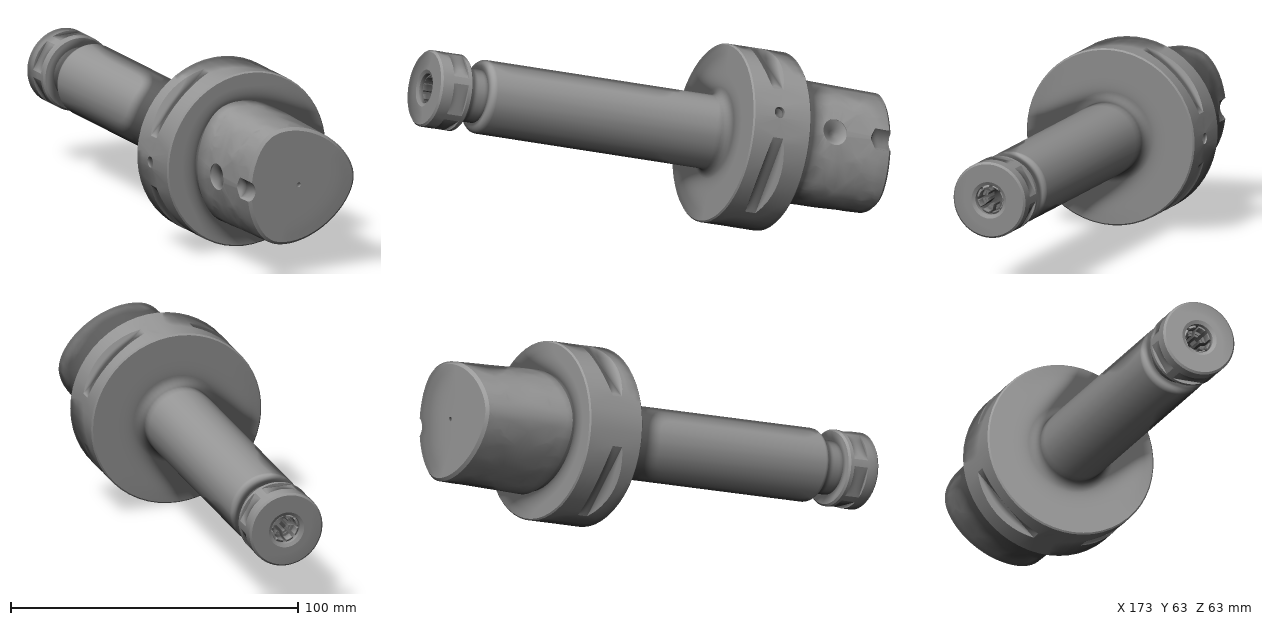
import cadquery as cq
import math

LENGTH = 173.0

NUT_DIA = 27.0
NUT_LENGTH = 12.6
NUT_CHAMFER = 0.7
NUT_MOUTH_DIA = 13.0
FLAT_COUNT = 6
FLAT_DISTANCE = 12.3
FLAT_START = 4.8
FLAT_END = 10.5

NOSE_DIA = 10.5
NOSE_FACE_DIA = 9.3
NOSE_START = 1.7
NOSE_CHAMFER_LENGTH = 0.5
MOUTH_LENGTH = 0.7
LIP_LENGTH = 3.5
SLOT_COUNT = 8
SLOT_WIDTH = 1.2
SLOT_DEPTH = 10.4
COUNTERBORE_DIA = 8.8
COUNTERBORE_DEPTH = 3.5
BORE_RIM_DIA = 7.0
BORE_RIM_DEPTH = 0.5
BORE_DIA = 5.5
BORE_DEPTH = 26.0
COOLANT_DIA = 1.7
DRILL_POINT_ANGLE = 118.0

NECK_DIA = 19.0
SHAFT_DIA = 26.0
SHAFT_START = 20.0
SHAFT_NOSE_RADIUS = 2.0
SHAFT_ROOT_RADIUS = 3.0

FLANGE_DIA = 63.0
FLANGE_WIDTH = 22.5
FLANGE_CHAMFER = 0.5
SHANK_LENGTH = 37.5
FLANGE_END = LENGTH - SHANK_LENGTH
FLANGE_START = FLANGE_END - FLANGE_WIDTH

GROOVE_SETBACK = 12.5
GROOVE_X = FLANGE_END - GROOVE_SETBACK
GROOVE_COUNT = 4
GROOVE_FLOOR_WIDTH = 4.0
GROOVE_FLOOR_DISTANCE = 27.7
GROOVE_FLANK_ANGLE = 30.0
INDEX_HOLE_DIA = 4.0
INDEX_HOLE_DEPTH = 1.7

SHANK_RADIUS = 22.0
LOBE_HEIGHT = 1.4
LOBE_COUNT = 3
OUTLINE_POINTS = 36
TAPER = 1 / 40
SHANK_CHAMFER = 1.0
RELIEF_RADIUS = 21.1
RELIEF_LOBE_HEIGHT = 0.7
RELIEF_WIDTH = 1.7

SIDE_HOLE_DIA = 9.3
SIDE_HOLE_X = 150.5
SIDE_HOLE_DEPTH = 2.2
END_NOTCH_DIA = 8.1
END_NOTCH_LENGTH = 6.5
END_NOTCH_Y = -21.1


def cylinder_x(diameter, start, end):
    """Cylinder on the X axis."""
    return cq.Workplane("YZ").workplane(offset=start).circle(diameter / 2).extrude(end - start)


def cone_x(start_diameter, end_diameter, start, end):
    """Truncated cone on the X axis."""
    points = [(start, 0), (start, start_diameter / 2), (end, end_diameter / 2), (end, 0)]
    return cq.Workplane("XY").polyline(points).close().revolve(360, (0, 0), (1, 0))


def drill(diameter, depth, point, direction):
    """Cylinder of the given depth with a conical drill point."""
    radius = diameter / 2
    tip = radius / math.tan(math.radians(DRILL_POINT_ANGLE / 2))
    origin = cq.Vector(*point)
    axis = cq.Vector(*direction)
    body = cq.Solid.makeCylinder(radius, depth, origin, axis)
    cone = cq.Solid.makeCone(radius, 0, tip, origin + axis * depth, axis)
    return cq.Workplane(obj=body.fuse(cone))


def shank_section(x, mean_radius, lobe_height):
    """Three-lobed outline of constant width, with one lobe toward +Y."""
    points = []
    for i in range(OUTLINE_POINTS):
        angle = 2 * math.pi * i / OUTLINE_POINTS
        distance = mean_radius + lobe_height * math.cos(LOBE_COUNT * angle)
        slope = -LOBE_COUNT * lobe_height * math.sin(LOBE_COUNT * angle)
        y = distance * math.cos(angle) - slope * math.sin(angle)
        z = distance * math.sin(angle) + slope * math.cos(angle)
        points.append(cq.Vector(x, y, z))
    return cq.Wire.assembleEdges([cq.Edge.makeSpline(points, periodic=True)])


def make_nut():
    nut = cylinder_x(NUT_DIA, 0, NUT_LENGTH).edges().chamfer(NUT_CHAMFER)
    nut = nut.cut(cone_x(NUT_MOUTH_DIA, NOSE_DIA, 0, MOUTH_LENGTH))
    nut = nut.cut(cylinder_x(NOSE_DIA, MOUTH_LENGTH, LIP_LENGTH))
    nut = nut.cut(cylinder_x(NECK_DIA, LIP_LENGTH, NUT_LENGTH))
    flat_cut = cq.Workplane("XY").box(
        FLAT_END - FLAT_START, NUT_DIA, NUT_DIA, centered=(False, True, False)
    ).translate((FLAT_START, 0, FLAT_DISTANCE))
    for i in range(FLAT_COUNT):
        nut = nut.cut(flat_cut.rotate((0, 0, 0), (1, 0, 0), 360 / FLAT_COUNT * i))
    return nut


def make_turned_body():
    """Nose, neck, shaft and flange as one turned profile."""
    nose_full = NOSE_START + NOSE_CHAMFER_LENGTH
    shaft_radius = SHAFT_DIA / 2
    flange_radius = FLANGE_DIA / 2
    corner = 1 - math.sqrt(0.5)
    return (
        cq.Workplane("XY")
        .moveTo(NOSE_START, 0)
        .lineTo(NOSE_START, NOSE_FACE_DIA / 2)
        .lineTo(nose_full, NOSE_DIA / 2)
        .lineTo(LIP_LENGTH, NOSE_DIA / 2)
        .lineTo(LIP_LENGTH, NECK_DIA / 2)
        .lineTo(SHAFT_START, NECK_DIA / 2)
        .lineTo(SHAFT_START, shaft_radius - SHAFT_NOSE_RADIUS)
        .threePointArc(
            (SHAFT_START + corner * SHAFT_NOSE_RADIUS, shaft_radius - corner * SHAFT_NOSE_RADIUS),
            (SHAFT_START + SHAFT_NOSE_RADIUS, shaft_radius),
        )
        .lineTo(FLANGE_START - SHAFT_ROOT_RADIUS, shaft_radius)
        .threePointArc(
            (FLANGE_START - corner * SHAFT_ROOT_RADIUS, shaft_radius + corner * SHAFT_ROOT_RADIUS),
            (FLANGE_START, shaft_radius + SHAFT_ROOT_RADIUS),
        )
        .lineTo(FLANGE_START, flange_radius - FLANGE_CHAMFER)
        .lineTo(FLANGE_START + FLANGE_CHAMFER, flange_radius)
        .lineTo(FLANGE_END - FLANGE_CHAMFER, flange_radius)
        .lineTo(FLANGE_END, flange_radius - FLANGE_CHAMFER)
        .lineTo(FLANGE_END, 0)
        .close()
        .revolve(360, (0, 0), (1, 0))
    )


def loft_x(first, last):
    """Straight-sided solid between two outlines."""
    return cq.Workplane(obj=cq.Solid.makeLoft([first, last], True))


def make_shank():
    """Taper with a chamfered end, standing on a relief groove beside the flange."""
    taper_start = FLANGE_END + RELIEF_WIDTH
    chamfer_start = LENGTH - SHANK_CHAMFER
    start_radius = SHANK_RADIUS - TAPER * RELIEF_WIDTH
    end_radius = SHANK_RADIUS - TAPER * (chamfer_start - FLANGE_END)

    start = shank_section(taper_start, start_radius, LOBE_HEIGHT)
    rim = shank_section(chamfer_start, end_radius, LOBE_HEIGHT)
    tip = shank_section(LENGTH, end_radius - SHANK_CHAMFER, LOBE_HEIGHT)
    relief_start = shank_section(FLANGE_END, RELIEF_RADIUS, RELIEF_LOBE_HEIGHT)
    relief_end = shank_section(taper_start, RELIEF_RADIUS, RELIEF_LOBE_HEIGHT)
    return loft_x(start, rim).union(loft_x(rim, tip)).union(loft_x(relief_start, relief_end))


def gripper_groove():
    """Trapezoidal groove straight across the rim, on the +Z side."""
    depth = FLANGE_DIA / 2 - GROOVE_FLOOR_DISTANCE
    floor = GROOVE_FLOOR_WIDTH / 2
    top = floor + depth * math.tan(math.radians(GROOVE_FLANK_ANGLE))
    return (
        cq.Workplane("XZ")
        .polyline([(-floor, 0), (floor, 0), (top, depth), (-top, depth)])
        .close()
        .extrude(FLANGE_DIA / 2, both=True)
        .translate((GROOVE_X, 0, GROOVE_FLOOR_DISTANCE))
    )


def cut_flange_details(holder):
    groove = gripper_groove()
    for i in range(GROOVE_COUNT):
        angle = 360 / GROOVE_COUNT * (i + 0.5)
        holder = holder.cut(groove.rotate((0, 0, 0), (1, 0, 0), angle))
    index_hole = drill(INDEX_HOLE_DIA, INDEX_HOLE_DEPTH, (GROOVE_X, -FLANGE_DIA / 2, 0), (0, 1, 0))
    return holder.cut(index_hole)


def cut_shank_holes(holder):
    side_hole = drill(SIDE_HOLE_DIA, SIDE_HOLE_DEPTH, (SIDE_HOLE_X, -SHANK_RADIUS, 0), (0, 1, 0))
    end_notch = drill(END_NOTCH_DIA, END_NOTCH_LENGTH, (LENGTH, END_NOTCH_Y, 0), (-1, 0, 0))
    return holder.cut(side_hole).cut(end_notch)


def cut_bore_and_slots(holder):
    counterbore_end = NOSE_START + COUNTERBORE_DEPTH
    rim_end = counterbore_end + BORE_RIM_DEPTH
    holder = holder.cut(cylinder_x(COUNTERBORE_DIA, NOSE_START, counterbore_end))
    holder = holder.cut(cylinder_x(BORE_RIM_DIA, counterbore_end, rim_end))
    holder = holder.cut(drill(BORE_DIA, BORE_DEPTH, (NOSE_START, 0, 0), (1, 0, 0)))
    holder = holder.cut(cylinder_x(COOLANT_DIA, NOSE_START, LENGTH))
    slot = cq.Workplane("XY").box(
        SLOT_DEPTH, SLOT_WIDTH, NOSE_DIA / 2, centered=(False, True, False)
    ).translate((NOSE_START, 0, 0)).intersect(cylinder_x(NOSE_DIA, 0, NOSE_START + SLOT_DEPTH))
    for i in range(SLOT_COUNT):
        holder = holder.cut(slot.rotate((0, 0, 0), (1, 0, 0), 360 / SLOT_COUNT * i))
    return holder


def make_holder():
    holder = make_turned_body().union(make_shank())
    holder = cut_flange_details(holder)
    holder = cut_shank_holes(holder)
    return cut_bore_and_slots(holder)


nut = make_nut()
holder = make_holder()
result = cq.Compound.makeCompound([nut.solids().val(), holder.solids().val()])